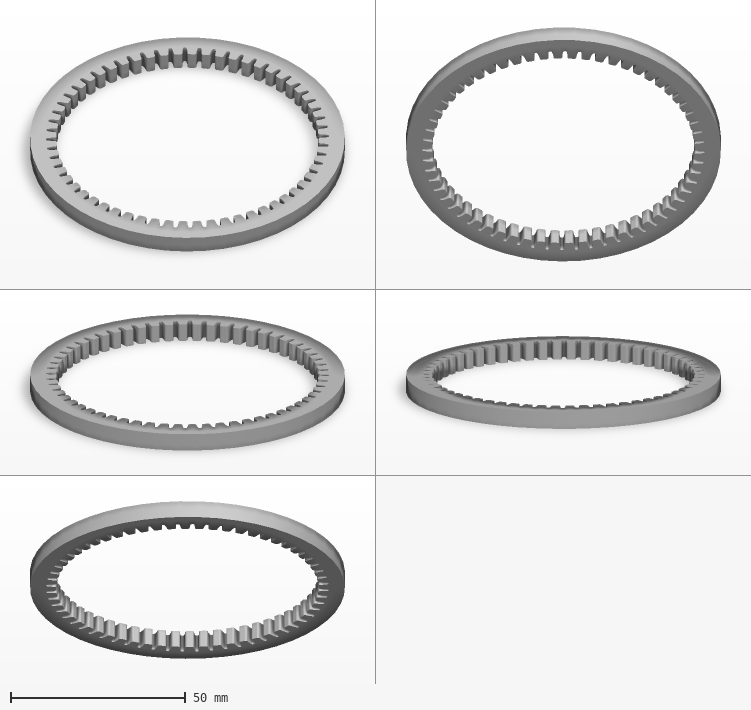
import cadquery as cq
import math

outer_diameter = 90.0
thickness = 5.0

tooth_count = 60
tip_radius = 37.4
root_radius = 40.4
tooth_pitch_angle = 360.0 / tooth_count
first_tooth_angle = 1.5

mouth_radius = 36.9
gap_mouth_width = 1.3
gap_middle_width = 1.4
gap_root_width = 0.8
tip_round = 0.6
root_round = 0.4


def make_ring():
    """Plain ring whose bore touches the tooth tips."""
    return cq.Workplane("XY").circle(outer_diameter / 2).circle(tip_radius).extrude(thickness)


def make_gap_cutter():
    """Gap between two teeth, centred on +X, with bowed flanks and rounded corners at its root."""
    middle_radius = (mouth_radius + root_radius) / 2
    cutter = (
        cq.Workplane("XY")
        .moveTo(mouth_radius, -gap_mouth_width / 2)
        .threePointArc((middle_radius, -gap_middle_width / 2), (root_radius, -gap_root_width / 2))
        .lineTo(root_radius, gap_root_width / 2)
        .threePointArc((middle_radius, gap_middle_width / 2), (mouth_radius, gap_mouth_width / 2))
        .close()
        .extrude(thickness)
    )
    return cutter.edges("|Z and >X").fillet(root_round)


def cut_gaps(ring):
    """Cut one gap midway between each pair of neighbouring teeth."""
    gap = make_gap_cutter().val()
    first_gap_angle = first_tooth_angle + tooth_pitch_angle / 2
    gaps = []
    for index in range(tooth_count):
        angle = first_gap_angle + index * tooth_pitch_angle
        gaps.append(gap.rotate(cq.Vector(0, 0, 0), cq.Vector(0, 0, 1), angle))
    return ring.cut(cq.Workplane(cq.Compound.makeCompound(gaps)))


def round_tooth_tips(body):
    """Round the upright edges where the tooth flanks meet the tip circle."""
    def is_tip_edge(edge):
        centre = edge.Center()
        return math.hypot(centre.x, centre.y) < tip_radius + tip_round / 2

    return body.edges("|Z").filter(is_tip_edge).fillet(tip_round)


result = round_tooth_tips(cut_gaps(make_ring()))